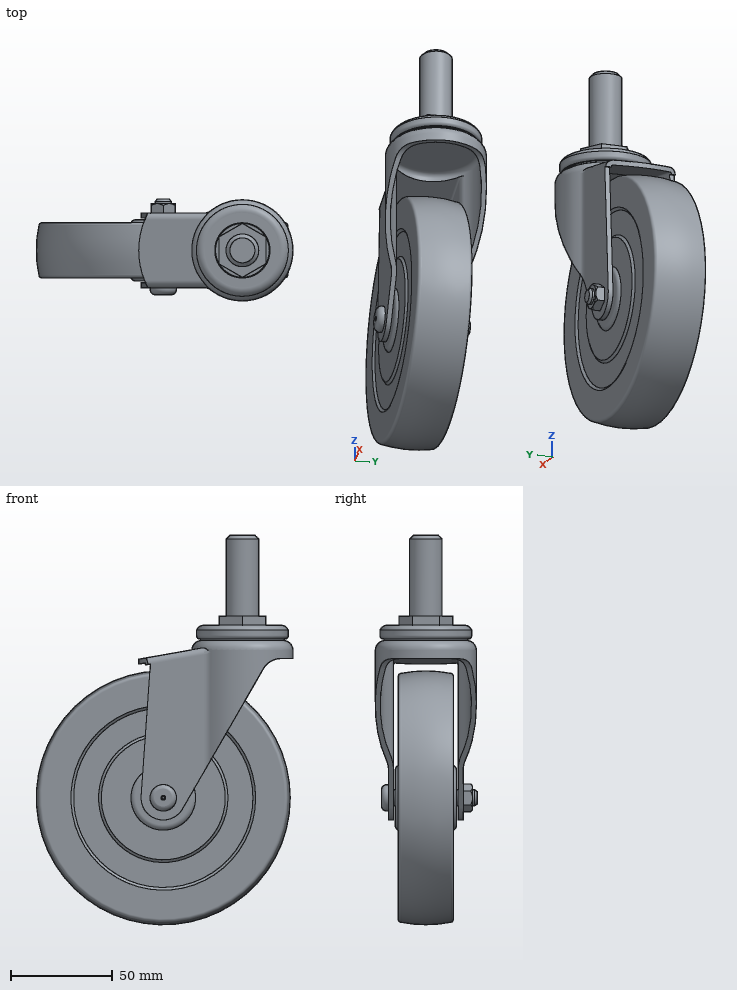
import cadquery as cq
import math


wheel_radius = 62.5
overall_height = 192.0
swivel_x = 39.0

tread_edge_radius = 61.5
rim_radius = 59.7
wheel_half_width = 13.6
tread_half_width = 12.0
tread_edge_bulge = (1.3, 0.5)
recess_outer_radius = 45.5
recess_inner_radius = 30.5
recess_depth = 1.2
recess_draft = 1.3
boss_radius = 16.0
boss_face_radius = 13.2
boss_half_width = 15.2
boss_bulge = (0.8, 0.5)

sheet = 2.5
leg_outer_y = 18.5
leg_inner_y = leg_outer_y - sheet
leg_tip_radius = 11.0
leg_front_angle = 4.0
leg_rear_angle = 60.0
head_radius = 25.0
head_top_z = 77.5
head_round = 5.0
skirt_z = 68.5
skirt_fillet = 10.0
bend_radius = 5.0
roof_angle = 10.0
roof_z_at_axle = 70.5
roof_round = 3.5
lip_radius = 40.0
lip_tip_x = -12.0

ring_radius = 22.7
ring_face_radius = 18.5
ring_top_z = 85.0
ring_band_top_z = 82.5
ring_band_bottom_z = 80.0
ring_bottom_z = 78.3
ring_base_radius = 21.7
ring_seat_radius = 20.7
ring_bore_radius = 13.6
ring_top_bulge = (1.3, 0.8)
ring_base_bulge = (0.2, 0.8)

stem_radius = 8.0
stem_chamfer = 2.0
stem_top_z = overall_height - wheel_radius
hex_across_flats = 23.0
hex_top_z = 89.5
collar_radius = 13.2
collar_recess = 1.0
collar_top_z = ring_top_z - collar_recess

axle_radius = 4.0
bolt_head_radius = 6.5
bolt_head_face_radius = 4.5
bolt_head_rim = 1.0
bolt_head_height = 3.5
bolt_head_bulge = (0.5, 1.0)
dimple_radius = 1.2
dimple_floor_radius = 0.5
dimple_depth = 0.5
nut_across_flats = 12.0
nut_chamfer_y = 22.0
nut_end_y = 23.0
axle_chamfer_y = 24.0
axle_end_radius = 3.0
axle_end_y = 25.3

hex_corner_ratio = 1 / math.cos(math.pi / 6)
hex_turn = 30.0


def cylinder_y(radius, y_start, y_end):
    """Cylinder on the axle axis between two Y positions."""
    return cq.Workplane("XZ", origin=(0, y_start, 0)).circle(radius).extrude(y_start - y_end)


def wheel_recess(side):
    """Shallow ring with sloped walls, cut into one side face of the wheel."""
    face_y = side * wheel_half_width
    floor_y = side * (wheel_half_width - recess_depth)
    return (
        cq.Workplane("XY")
        .polyline([
            (recess_inner_radius, face_y),
            (recess_inner_radius + recess_draft, floor_y),
            (recess_outer_radius - recess_draft, floor_y),
            (recess_outer_radius, face_y),
        ])
        .close()
        .revolve(360, (0, 0, 0), (0, 1, 0))
    )


def make_wheel():
    edge_x = rim_radius + tread_edge_bulge[0]
    edge_y = wheel_half_width - tread_edge_bulge[1]
    boss_x = boss_radius - boss_bulge[0]
    boss_y = boss_half_width - boss_bulge[1]
    wheel = (
        cq.Workplane("XY")
        .moveTo(axle_radius, -boss_half_width)
        .lineTo(boss_face_radius, -boss_half_width)
        .threePointArc((boss_x, -boss_y), (boss_radius, -wheel_half_width))
        .lineTo(rim_radius, -wheel_half_width)
        .threePointArc((edge_x, -edge_y), (tread_edge_radius, -tread_half_width))
        .threePointArc((wheel_radius, 0), (tread_edge_radius, tread_half_width))
        .threePointArc((edge_x, edge_y), (rim_radius, wheel_half_width))
        .lineTo(boss_radius, wheel_half_width)
        .threePointArc((boss_x, boss_y), (boss_face_radius, boss_half_width))
        .lineTo(axle_radius, boss_half_width)
        .close()
        .revolve(360, (0, 0, 0), (0, 1, 0))
    )
    for side in (-1, 1):
        wheel = wheel.cut(wheel_recess(side))
    return wheel


clearance = 2.0
front_x = lip_tip_x - clearance
floor_z = -leg_tip_radius - clearance
above_z = head_top_z + clearance
side_y = head_radius + clearance
rear_x = swivel_x + side_y
shortest_side_run = 0.2


def roof_z(x, offset=0.0):
    """Height of the sloped roof at x, moved down square to the roof by offset."""
    slope = math.radians(roof_angle)
    return roof_z_at_axle + x * math.tan(slope) - offset / math.cos(slope)


def under_roof(offset):
    """Everything below the sloped roof plane, between the front and the swivel axis."""
    return (
        cq.Workplane("XZ", origin=(0, head_radius, 0))
        .polyline([
            (front_x, floor_z),
            (swivel_x, floor_z),
            (swivel_x, roof_z(swivel_x, offset)),
            (front_x, roof_z(front_x, offset)),
        ])
        .close()
        .extrude(2 * head_radius)
    )


def bridge_block(half_width, radius, bend, edge_round, offset):
    """Legs and roof as one solid block that bends outward into the head.

    In plan each side runs straight, turns through the concave bend and then
    follows the head circle. The roof edge along that whole path is rounded.
    """
    centre_y = half_width + bend
    reach = radius + bend
    run = math.sqrt(reach ** 2 - centre_y ** 2)
    bend_x = swivel_x - run
    turn = math.acos(centre_y / reach)
    bend_middle = (bend_x + bend * math.sin(turn / 2), centre_y - bend * math.cos(turn / 2))
    bend_end = (bend_x + bend * math.sin(turn), centre_y - bend * math.cos(turn))
    head_middle = (swivel_x - radius * math.sin(turn / 2), radius * math.cos(turn / 2))

    plan = (
        cq.Workplane("XY", origin=(0, 0, floor_z))
        .moveTo(front_x, -half_width)
        .lineTo(bend_x, -half_width)
        .threePointArc((bend_middle[0], -bend_middle[1]), (bend_end[0], -bend_end[1]))
        .threePointArc((head_middle[0], -head_middle[1]), (swivel_x, -radius))
        .lineTo(swivel_x, radius)
        .threePointArc(head_middle, bend_end)
        .threePointArc(bend_middle, (bend_x, half_width))
        .lineTo(front_x, half_width)
        .close()
    )
    block = plan.extrude(above_z - floor_z).intersect(under_roof(offset))
    roof_edges = block.faces(">Z").edges()
    side_edges = [edge for edge in roof_edges.vals() if edge.BoundingBox().xlen > shortest_side_run]
    rounded = block.newObject(side_edges).fillet(edge_round)

    front_part = (
        cq.Workplane("XY", origin=(front_x, 0, floor_z))
        .box(bend_end[0] - front_x, 2 * radius, above_z - floor_z, centered=(False, True, False))
    )
    return rounded.intersect(front_part)


def head_block(radius, top_z, edge_round):
    """Upright cylinder on the swivel axis with a rounded top edge."""
    return (
        cq.Workplane("XY", origin=(swivel_x, 0, floor_z))
        .circle(radius)
        .extrude(top_z - floor_z)
        .faces(">Z")
        .edges()
        .fillet(edge_round)
    )


def leg_profile():
    """Side outline of the legs and head, cut through the full width."""
    front = math.radians(leg_front_angle)
    rear = math.radians(leg_rear_angle)
    front_tangent = (-leg_tip_radius * math.cos(front), leg_tip_radius * math.sin(front))
    rear_tangent = (leg_tip_radius * math.sin(rear), -leg_tip_radius * math.cos(rear))
    front_top_x = front_tangent[0] + (above_z - front_tangent[1]) * math.tan(front)

    corner_x = rear_tangent[0] + (skirt_z - rear_tangent[1]) / math.tan(rear)
    setback = skirt_fillet * math.tan(rear / 2)
    fillet_start = (corner_x - setback * math.cos(rear), skirt_z - setback * math.sin(rear))
    fillet_end = (corner_x + setback, skirt_z)
    fillet_middle = (
        fillet_end[0] - skirt_fillet * math.sin(rear / 2),
        skirt_z - skirt_fillet + skirt_fillet * math.cos(rear / 2),
    )
    return (
        cq.Workplane("XZ", origin=(0, side_y, 0))
        .moveTo(front_top_x, above_z)
        .lineTo(*front_tangent)
        .threePointArc((0, -leg_tip_radius), rear_tangent)
        .lineTo(*fillet_start)
        .threePointArc(fillet_middle, fillet_end)
        .lineTo(rear_x, skirt_z)
        .lineTo(rear_x, above_z)
        .close()
        .extrude(2 * side_y)
    )


def lip_region():
    """Slab just under the roof, ended at the front by an arc in plan."""
    slab = (
        cq.Workplane("XZ", origin=(0, head_radius, 0))
        .polyline([
            (front_x, roof_z(front_x, roof_round)),
            (swivel_x, roof_z(swivel_x, roof_round)),
            (swivel_x, roof_z(swivel_x) + clearance),
            (front_x, roof_z(front_x) + clearance),
        ])
        .close()
        .extrude(2 * head_radius)
    )
    arc_disc = (
        cq.Workplane("XY", origin=(lip_tip_x + lip_radius, 0, 0))
        .circle(lip_radius)
        .extrude(2 * head_top_z)
    )
    return slab.intersect(arc_disc)


def make_fork():
    """Sheet metal shell: the outer shape less the same shape one sheet smaller."""
    outer = bridge_block(leg_outer_y, head_radius, bend_radius, roof_round, 0.0)
    outer = outer.union(head_block(head_radius, head_top_z, head_round))

    inner = bridge_block(
        leg_inner_y, head_radius - sheet, bend_radius + sheet, roof_round - sheet, sheet
    )
    inner = inner.union(head_block(head_radius - sheet, head_top_z - sheet, head_round - sheet))

    fork = outer.cut(inner).intersect(leg_profile().union(lip_region()))
    return fork.cut(cylinder_y(axle_radius, -head_radius, head_radius))


def make_swivel_ring():
    """Ring that rests on the fork head and takes the stem collar in its bore."""
    base_middle = (ring_radius - ring_base_bulge[0], ring_bottom_z + ring_base_bulge[1])
    top_middle = (ring_radius - ring_top_bulge[0], ring_top_z - ring_top_bulge[1])
    return (
        cq.Workplane("XZ", origin=(swivel_x, 0, 0))
        .moveTo(ring_bore_radius, head_top_z)
        .lineTo(ring_seat_radius, head_top_z)
        .lineTo(ring_seat_radius, ring_bottom_z)
        .lineTo(ring_base_radius, ring_bottom_z)
        .threePointArc(base_middle, (ring_radius, ring_band_bottom_z))
        .lineTo(ring_radius, ring_band_top_z)
        .threePointArc(top_middle, (ring_face_radius, ring_top_z))
        .lineTo(ring_bore_radius, ring_top_z)
        .close()
        .revolve(360, (0, 0, 0), (0, 1, 0))
    )


def make_stem():
    """Round collar seated in the ring, hexagon and shank in one piece."""
    collar = (
        cq.Workplane("XY", origin=(swivel_x, 0, head_top_z))
        .circle(collar_radius)
        .extrude(collar_top_z - head_top_z)
    )
    hexagon = (
        cq.Workplane("XY", origin=(swivel_x, 0, collar_top_z))
        .polygon(6, hex_across_flats * hex_corner_ratio)
        .extrude(hex_top_z - collar_top_z)
        .rotate((swivel_x, 0, 0), (swivel_x, 0, 1), hex_turn)
    )
    shank = (
        cq.Workplane("XY", origin=(swivel_x, 0, hex_top_z))
        .circle(stem_radius)
        .extrude(stem_top_z - hex_top_z)
        .faces(">Z")
        .chamfer(stem_chamfer)
    )
    return collar.union(hexagon).union(shank)


def make_axle():
    """Bolt with a round head on the -Y side and a hexagon on the +Y side."""
    head_y = -leg_outer_y - bolt_head_height
    head_middle = (bolt_head_radius - bolt_head_bulge[0], head_y + bolt_head_bulge[1])
    shaft = (
        cq.Workplane("XY")
        .moveTo(0, head_y + dimple_depth)
        .lineTo(dimple_floor_radius, head_y + dimple_depth)
        .lineTo(dimple_radius, head_y)
        .lineTo(bolt_head_face_radius, head_y)
        .threePointArc(head_middle, (bolt_head_radius, -leg_outer_y - bolt_head_rim))
        .lineTo(bolt_head_radius, -leg_outer_y)
        .lineTo(axle_radius, -leg_outer_y)
        .lineTo(axle_radius, axle_chamfer_y)
        .lineTo(axle_end_radius, axle_end_y)
        .lineTo(0, axle_end_y)
        .close()
        .revolve(360, (0, 0, 0), (0, 1, 0))
    )
    corner_radius = nut_across_flats / 2 * hex_corner_ratio
    hexagon = (
        cq.Workplane("XZ", origin=(0, leg_outer_y, 0))
        .polygon(6, 2 * corner_radius)
        .extrude(leg_outer_y - nut_end_y)
        .rotate((0, 0, 0), (0, 1, 0), hex_turn)
    )
    chamfer_cone = (
        cq.Workplane("XY")
        .polyline([
            (0, leg_outer_y),
            (corner_radius, leg_outer_y),
            (corner_radius, nut_chamfer_y),
            (nut_across_flats / 2, nut_end_y),
            (0, nut_end_y),
        ])
        .close()
        .revolve(360, (0, 0, 0), (0, 1, 0))
    )
    return shaft.union(hexagon.intersect(chamfer_cone))


wheel = make_wheel()
fork = make_fork()
swivel_ring = make_swivel_ring()
stem = make_stem()
axle = make_axle()

result = cq.Compound.makeCompound([
    wheel.val(),
    fork.val(),
    swivel_ring.val(),
    stem.val(),
    axle.val(),
])